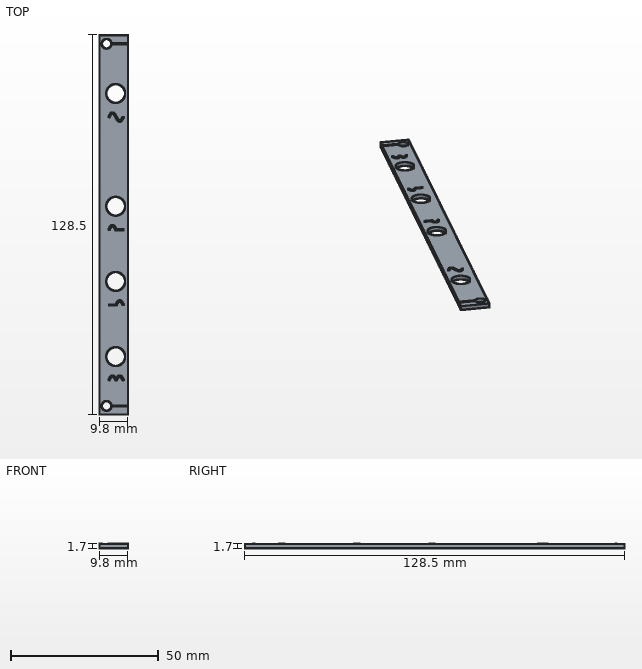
import cadquery as cq
import math

width = 9.8
length = 128.5
total_height = 1.7
relief = 0.19
plate_height = total_height - relief

mount_hole_diameter = 3.2
mount_hole_x = -2.5
mount_hole_inset = 3.0
mount_hole_y = length / 2 - mount_hole_inset
mount_line_width = 0.4

jack_diameter = 6.3
jack_x = 0.6
top_jack_y = 44.5
jack_pitch = 25.5
top_jack_gap = 1.5 * jack_pitch
second_jack_y = top_jack_y - top_jack_gap
third_jack_y = second_jack_y - jack_pitch
bottom_jack_y = third_jack_y - jack_pitch
jack_rows = [top_jack_y, second_jack_y, third_jack_y, bottom_jack_y]

symbol_x = 0.8
symbol_drop = 8.0
half_wave_length = 2.5
wave_height = 1.4
stroke = 0.4
curve_steps = 8
symbol_half_waves = [(1, -1), (1, 0), (0, 1), (1, 1)]


def raised(outline):
    """Extrude a sketch lying on top of the plate to the relief height."""
    return outline.extrude(relief)


def plate_top():
    return cq.Workplane("XY").workplane(offset=plate_height)


def half_wave(start_x, baseline_y, direction):
    """A stroke of constant width along half a sine period."""
    upper = []
    lower = []
    for step in range(curve_steps + 1):
        phase = math.pi * step / curve_steps
        x = start_x + half_wave_length * step / curve_steps
        y = baseline_y + direction * wave_height * math.sin(phase)
        slope = direction * wave_height * math.pi / half_wave_length * math.cos(phase)
        normal_x = -slope / math.hypot(1, slope)
        normal_y = 1 / math.hypot(1, slope)
        upper.append((x + normal_x * stroke / 2, y + normal_y * stroke / 2))
        lower.append((x - normal_x * stroke / 2, y - normal_y * stroke / 2))
    lower.reverse()
    outline = plate_top().moveTo(*upper[0]).spline(upper[1:], includeCurrent=True)
    outline = outline.lineTo(*lower[0]).spline(lower[1:], includeCurrent=True).close()
    return raised(outline)


def waveform(jack_y, directions):
    """Two half waves side by side, joined by a round dot."""
    baseline_y = jack_y - symbol_drop
    symbol = raised(plate_top().center(symbol_x, baseline_y).circle(stroke / 2))
    start_x = symbol_x - half_wave_length
    for direction in directions:
        symbol = symbol.union(half_wave(start_x, baseline_y, direction))
        start_x += half_wave_length
    return symbol


def mount_line(y):
    return raised(plate_top().center(0, y).rect(width, mount_line_width))


panel = cq.Workplane("XY").box(width, length, plate_height, centered=(True, True, False))

for end_y in (mount_hole_y, -mount_hole_y):
    panel = panel.union(mount_line(end_y))

for jack_y, directions in zip(jack_rows, symbol_half_waves):
    panel = panel.union(waveform(jack_y, directions))

mount_points = [(mount_hole_x, mount_hole_y), (mount_hole_x, -mount_hole_y)]
mount_holes = cq.Workplane("XY").pushPoints(mount_points).circle(mount_hole_diameter / 2)
panel = panel.cut(mount_holes.extrude(total_height))

jack_points = [(jack_x, jack_y) for jack_y in jack_rows]
jack_holes = cq.Workplane("XY").pushPoints(jack_points).circle(jack_diameter / 2)
panel = panel.cut(jack_holes.extrude(total_height))

result = panel